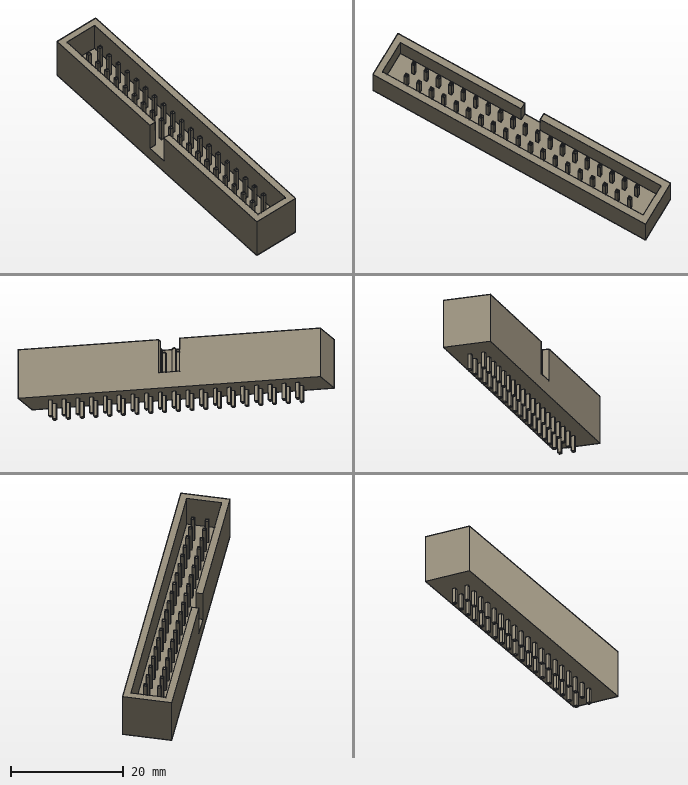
import cadquery as cq

housing_length = 55.9
housing_width = 8.9
housing_height = 8.9
end_wall = 1.25
side_wall = 1.3
cavity_depth = 6.05
slot_width = 3.9

pins_per_row = 19
row_count = 2
row_span = 45.7
pin_pitch = row_span / (pins_per_row - 1)
pin_side = 0.6
tip_side = 0.2
tip_height = 0.2
pin_recess = 0.9
tail_length = 3.0


def make_housing():
    """Box with its underside on Z = 0, hollowed from the top and notched in the -Y wall."""
    base_on_floor = (True, True, False)
    floor_height = housing_height - cavity_depth
    body = cq.Workplane("XY").box(housing_length, housing_width, housing_height, centered=base_on_floor)
    cavity = cq.Workplane("XY", origin=(0, 0, floor_height)).box(
        housing_length - 2 * end_wall, housing_width - 2 * side_wall, cavity_depth, centered=base_on_floor
    )
    slot = cq.Workplane("XY", origin=(0, -housing_width / 2, floor_height)).box(
        slot_width, 2 * side_wall, cavity_depth, centered=base_on_floor
    )
    return body.cut(cavity).cut(slot)


def make_tip(base_z, direction):
    """Truncated pyramid narrowing away from base_z, upward (+1) or downward (-1)."""
    return (
        cq.Workplane("XY", origin=(0, 0, base_z))
        .rect(pin_side, pin_side)
        .workplane(offset=direction * tip_height)
        .rect(tip_side, tip_side)
        .loft(ruled=True)
    )


def make_pin():
    """Square post through the housing floor, tapered at both ends."""
    shank_bottom = tip_height - tail_length
    shank_top = housing_height - pin_recess - tip_height
    shank = (
        cq.Workplane("XY", origin=(0, 0, shank_bottom))
        .rect(pin_side, pin_side)
        .extrude(shank_top - shank_bottom)
    )
    return shank.union(make_tip(shank_top, 1)).union(make_tip(shank_bottom, -1))


def make_pin_field():
    """All pins, on a square-pitch grid centred on the housing."""
    pin = make_pin().val()
    grid = cq.Workplane("XY").rarray(pin_pitch, pin_pitch, pins_per_row, row_count)
    return grid.eachpoint(lambda place: pin.moved(place))


result = make_housing().union(make_pin_field())